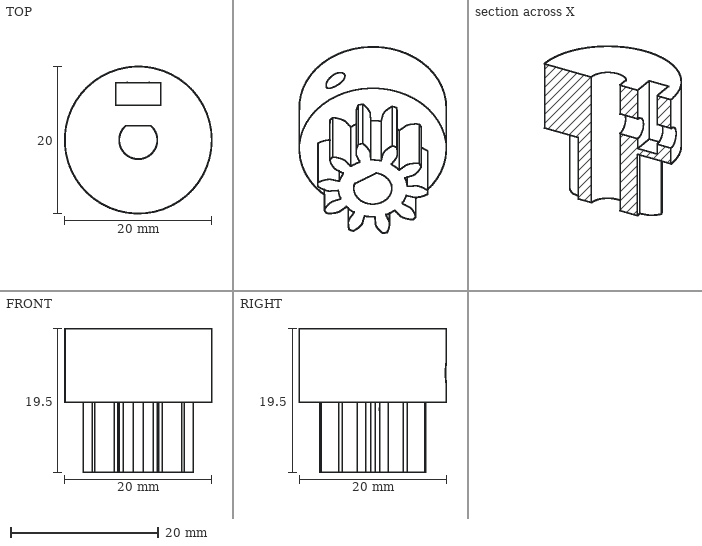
import cadquery as cq
import math

module = 1.25
tooth_count = 10
pressure_angle = math.radians(20)
backlash = 0.1
root_depth_factor = 1.25
gear_length = 9.5

pitch_radius = module * tooth_count / 2
tip_radius = pitch_radius + module
root_radius = pitch_radius - root_depth_factor * module
base_radius = pitch_radius * math.cos(pressure_angle)

collar_diameter = 20.0
collar_height = 10.0
total_height = gear_length + collar_height

bore_diameter = 5.15
bore_flat_to_wall = 4.5
bore_flat_offset = bore_flat_to_wall - bore_diameter / 2

nut_pocket_width = 6.05
nut_pocket_thickness = 3.05
nut_pocket_center_y = 6.275
screw_diameter = 3.0
screw_depth_below_top = 6.0
nut_pocket_depth = screw_depth_below_top + nut_pocket_width / 2

flank_point_count = 10


def involute_angle(angle):
    """Polar angle swept by an involute at the given pressure angle."""
    return math.tan(angle) - angle


def polar(radius, angle):
    return (radius * math.cos(angle), radius * math.sin(angle))


tooth_pitch_angle = 2 * math.pi / tooth_count
pitch_half_angle = tooth_pitch_angle / 4 - backlash / 2 / pitch_radius
base_half_angle = pitch_half_angle + involute_angle(pressure_angle)


def tooth_half_angle(radius):
    """Half the angular thickness of a tooth at a radius outside the base circle."""
    return base_half_angle - involute_angle(math.acos(base_radius / radius))


def flank_points(center_angle, side):
    """Involute points from base circle to tip; side is -1 or +1."""
    step = (tip_radius - base_radius) / (flank_point_count - 1)
    radii = [base_radius + i * step for i in range(1, flank_point_count - 1)]
    points = [polar(base_radius, center_angle + side * base_half_angle)]
    points += [polar(r, center_angle + side * tooth_half_angle(r)) for r in radii]
    points.append(polar(tip_radius, center_angle + side * tooth_half_angle(tip_radius)))
    return points


def make_gear():
    outline = cq.Workplane("XY").moveTo(*polar(root_radius, -base_half_angle))
    for tooth in range(tooth_count):
        center = tooth * tooth_pitch_angle
        rising = flank_points(center, -1)
        falling = flank_points(center, 1)[::-1]
        next_root = center + tooth_pitch_angle - base_half_angle
        outline = (
            outline.lineTo(*rising[0])
            .spline(rising[1:], includeCurrent=True)
            .threePointArc(polar(tip_radius, center), falling[0])
            .spline(falling[1:], includeCurrent=True)
            .lineTo(*polar(root_radius, center + base_half_angle))
            .threePointArc(
                polar(root_radius, center + tooth_pitch_angle / 2),
                polar(root_radius, next_root),
            )
        )
    return outline.close().extrude(gear_length)


def make_collar():
    return (
        cq.Workplane("XY")
        .workplane(offset=gear_length)
        .circle(collar_diameter / 2)
        .extrude(collar_height)
    )


def make_bore():
    bore_radius = bore_diameter / 2
    flat_half_width = math.sqrt(bore_radius**2 - bore_flat_offset**2)
    return (
        cq.Workplane("XY")
        .moveTo(-flat_half_width, bore_flat_offset)
        .threePointArc((0, -bore_radius), (flat_half_width, bore_flat_offset))
        .close()
        .extrude(total_height)
    )


def make_nut_pocket():
    return (
        cq.Workplane("XY")
        .workplane(offset=total_height)
        .center(0, nut_pocket_center_y)
        .rect(nut_pocket_width, nut_pocket_thickness)
        .extrude(-nut_pocket_depth)
    )


def make_screw_hole():
    """Radial hole from the bore axis out through the +Y side of the collar."""
    screw_height = total_height - screw_depth_below_top
    return (
        cq.Workplane("XZ")
        .center(0, screw_height)
        .circle(screw_diameter / 2)
        .extrude(-collar_diameter / 2)
    )


result = (
    make_gear()
    .union(make_collar())
    .cut(make_bore())
    .cut(make_nut_pocket())
    .cut(make_screw_hole())
)